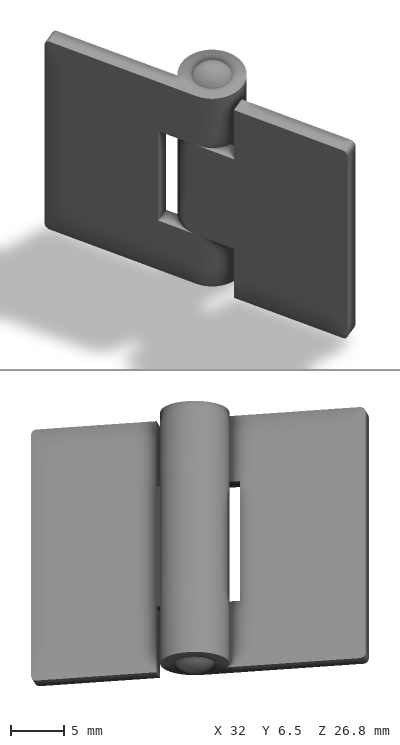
import cadquery as cq

hinge_width = 32.0
leaf_height = 25.0
leaf_thickness = 1.6
knuckle_diameter = 6.5
pin_diameter = 3.85
overall_height = 26.8
middle_knuckle_height = 11.9
notch_reach = 4.0
corner_radius = 0.5

half_width = hinge_width / 2
knuckle_radius = knuckle_diameter / 2
pin_radius = pin_diameter / 2
dome_rise = (overall_height - leaf_height) / 2
front_y = -knuckle_radius


def clearance_block(height, center_z):
    """Block around the pin axis that removes a leaf where the other leaf's knuckle sits."""
    return cq.Workplane("XY").box(2 * notch_reach, 2 * knuckle_diameter, height).translate((0, 0, center_z))


def full_leaf(side):
    """Plate and full-length rolled barrel; side is -1 for left, 1 for right."""
    plate = (
        cq.Workplane("XY")
        .box(half_width, leaf_thickness, leaf_height)
        .translate((side * half_width / 2, front_y + leaf_thickness / 2, 0))
    )
    outer_edge = "<X" if side < 0 else ">X"
    plate = plate.faces(outer_edge).edges("|Y").fillet(corner_radius)
    barrel = cq.Workplane("XY").circle(knuckle_radius).extrude(leaf_height / 2, both=True)
    bore = cq.Workplane("XY").circle(pin_radius).extrude(leaf_height / 2, both=True)
    return plate.union(barrel).cut(bore)


def make_outer_leaf():
    """Left leaf, carrying the top and bottom knuckles."""
    return full_leaf(-1).cut(clearance_block(middle_knuckle_height, 0))


def make_middle_leaf():
    """Right leaf, carrying the middle knuckle."""
    leaf = full_leaf(1)
    end_height = (leaf_height - middle_knuckle_height) / 2
    end_center_z = (leaf_height - end_height) / 2
    for end in (-1, 1):
        leaf = leaf.cut(clearance_block(end_height, end * end_center_z))
    return leaf


def make_pin():
    """Round pin with a shallow dome at each end."""
    shank_end = leaf_height / 2
    tip = shank_end + dome_rise
    dome_radius = (pin_radius**2 + dome_rise**2) / (2 * dome_rise)
    mid_x = pin_radius / 2
    mid_z = tip - dome_radius + (dome_radius**2 - mid_x**2) ** 0.5
    return (
        cq.Workplane("XZ")
        .moveTo(0, -tip)
        .threePointArc((mid_x, -mid_z), (pin_radius, -shank_end))
        .lineTo(pin_radius, shank_end)
        .threePointArc((mid_x, mid_z), (0, tip))
        .close()
        .revolve(360, (0, 0, 0), (0, 1, 0))
    )


outer_leaf = make_outer_leaf()
middle_leaf = make_middle_leaf()
pin = make_pin()

result = cq.Compound.makeCompound([outer_leaf.val(), middle_leaf.val(), pin.val()])